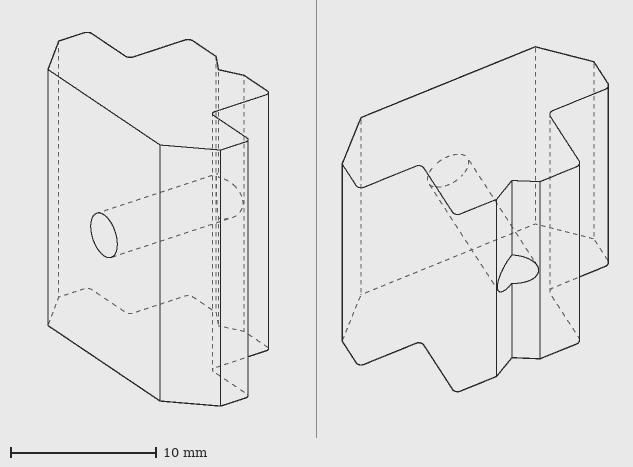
import cadquery as cq
import math

length = 20.0
base_width = 19.5
depth = 10.6

stem_width = 9.8
stem_height = 5.1
bevel = 3.0
edge_radius = 0.4

groove_width = 3.35
groove_flank_angle = 30.0

hole_diameter = 3.2

half_base = base_width / 2
half_stem = stem_width / 2
half_groove = groove_width / 2
base_height = depth - stem_height
groove_depth = half_groove * math.tan(math.radians(groove_flank_angle))


def make_body():
    """Extrude the T profile along Z, with the bevelled face at Y = 0."""
    right_side = [
        (half_base - bevel, 0),
        (half_base, bevel),
        (half_base, base_height),
        (half_stem, base_height),
        (half_stem, depth),
        (half_groove, depth),
    ]
    left_side = [(-x, y) for x, y in reversed(right_side)]
    groove_bottom = (0, depth - groove_depth)
    outline = right_side + [groove_bottom] + left_side
    return cq.Workplane("XY").polyline(outline).close().extrude(length)


def round_edges(body):
    """Round the base shoulders, the stem roots and the stem corners."""
    rounded_corners = [
        (half_base, base_height),
        (half_stem, base_height),
        (half_stem, depth),
    ]
    for x, y in rounded_corners:
        for side in (-1, 1):
            nearest = cq.selectors.NearestToPointSelector((side * x, y, length / 2))
            body = body.edges("|Z").edges(nearest).fillet(edge_radius)
    return body


def make_hole():
    """Through hole along Y, centred on the bevelled face."""
    return (
        cq.Workplane("XZ")
        .center(0, length / 2)
        .circle(hole_diameter / 2)
        .extrude(-depth)
    )


result = round_edges(make_body()).cut(make_hole())